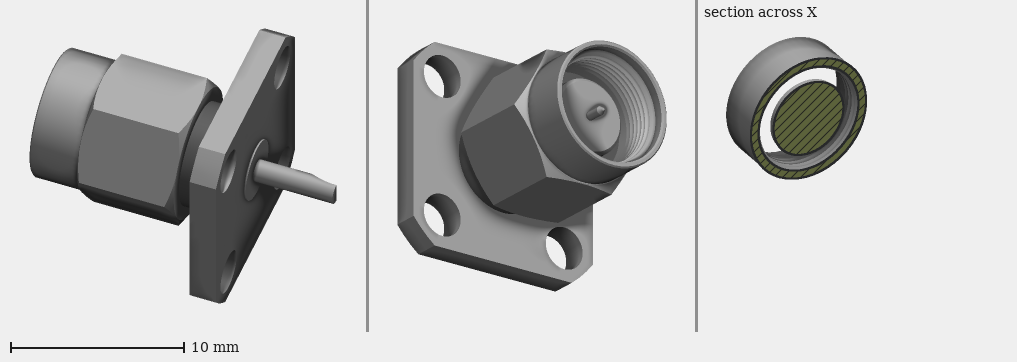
import cadquery as cq
import math

sleeve_radius = 3.88
sleeve_edge_chamfer = 0.09
hex_front_x = 2.98
hex_rear_x = 8.98
hex_across_flats = 7.96
hex_chamfer_angle = 30
hex_front_face_radius = 3.94
hex_rear_face_radius = 3.99

mouth_radius = 3.62
mouth_chamfer = 0.1
entry_depth = 0.7
lead_in_radius = 3.27
thread_minor_radius = 3.18
thread_start_x = 0.9
thread_pitch = 0.37
thread_flank_angle = 30
thread_groove_count = 8
socket_floor_x = thread_start_x + thread_groove_count * thread_pitch

boss_front_x = 2.3
boss_radius = 2.36
boss_chamfer = 0.21
contact_radius = 0.26
contact_tip_x = 0.96
contact_tip_radius = 0.09
contact_tip_length = 0.26

collar_radius = 3.15
flange_front_x = 10.87
flange_rear_x = 12.5
flange_side = 12.7
flange_corner_diameter = 16.0
mount_hole_diameter = 2.6
mount_hole_spacing = 8.65
disc_radius = 1.84
disc_rear_x = 12.6

terminal_radius = 0.66
terminal_end_x = 17.5
scoop_radius = 2.98
scoop_center_x = 17.38


def revolve_profile(points):
    """Turn a closed outline of (x, radius) points around the X axis."""
    return cq.Workplane("XY").polyline(points).close().revolve(360, (0, 0, 0), (1, 0, 0))


def cylinder(x_start, x_end, radius):
    """Solid cylinder on the X axis between two stations."""
    return cq.Workplane("YZ", origin=(x_start, 0, 0)).circle(radius).extrude(x_end - x_start)


def make_sleeve():
    sleeve = cylinder(0, hex_front_x, sleeve_radius)
    return sleeve.faces("<X").chamfer(sleeve_edge_chamfer)


def make_hexagon():
    """Hexagon with corners on the Y axis, turned down conically at both ends."""
    corner_radius = hex_across_flats / math.sqrt(3)
    slope = math.tan(math.radians(hex_chamfer_angle))
    front_run = (corner_radius - hex_front_face_radius) * slope
    rear_run = (corner_radius - hex_rear_face_radius) * slope
    prism = (
        cq.Workplane("YZ", origin=(hex_front_x, 0, 0))
        .polygon(6, 2 * corner_radius)
        .extrude(hex_rear_x - hex_front_x)
    )
    turned_envelope = revolve_profile([
        (hex_front_x, 0),
        (hex_front_x, hex_front_face_radius),
        (hex_front_x + front_run, corner_radius),
        (hex_rear_x - rear_run, corner_radius),
        (hex_rear_x, hex_rear_face_radius),
        (hex_rear_x, 0),
    ])
    return prism.intersect(turned_envelope)


def make_socket():
    """Cavity with a plain entry bore, a conical lead-in and a row of V-shaped thread grooves.

    The lead-in runs into the rear side of a thread crest, so the first groove begins part way up.
    """
    entry_radius = mouth_radius - mouth_chamfer
    flank_slope = math.tan(math.radians(thread_flank_angle))
    half_pitch = thread_pitch / 2
    groove_depth = half_pitch / flank_slope
    first_flank_x = thread_start_x + (lead_in_radius - thread_minor_radius) * flank_slope
    outline = [
        (0, 0),
        (0, mouth_radius),
        (mouth_chamfer, entry_radius),
        (entry_depth, entry_radius),
        (first_flank_x, lead_in_radius),
    ]
    for groove in range(thread_groove_count):
        crest_x = thread_start_x + groove * thread_pitch
        outline.append((crest_x + half_pitch, thread_minor_radius + groove_depth))
        outline.append((crest_x + thread_pitch, thread_minor_radius))
    outline.append((socket_floor_x, 0))
    return revolve_profile(outline)


def make_boss():
    boss = cylinder(boss_front_x, socket_floor_x, boss_radius)
    return boss.faces("<X").chamfer(boss_chamfer)


def make_contact():
    return revolve_profile([
        (contact_tip_x, 0),
        (contact_tip_x, contact_tip_radius),
        (contact_tip_x + contact_tip_length, contact_radius),
        (boss_front_x, contact_radius),
        (boss_front_x, 0),
    ])


def make_flange():
    """Square flange with corners turned to a circle and four through holes."""
    thickness = flange_rear_x - flange_front_x
    plate = (
        cq.Workplane("YZ", origin=(flange_front_x, 0, 0))
        .rect(flange_side, flange_side)
        .extrude(thickness)
    )
    turned_disc = cylinder(flange_front_x, flange_rear_x, flange_corner_diameter / 2)
    holes = (
        cq.Workplane("YZ", origin=(flange_front_x, 0, 0))
        .rect(mount_hole_spacing, mount_hole_spacing, forConstruction=True)
        .vertices()
        .circle(mount_hole_diameter / 2)
        .extrude(thickness)
    )
    return plate.intersect(turned_disc).cut(holes)


def make_terminal():
    """Rear pin whose +Y half is scooped away towards its end."""
    pin = cylinder(disc_rear_x, terminal_end_x, terminal_radius)
    scoop = (
        cq.Workplane("XY")
        .center(scoop_center_x, scoop_radius)
        .circle(scoop_radius)
        .extrude(terminal_radius, both=True)
    )
    return pin.cut(scoop)


nut = make_sleeve().union(make_hexagon()).cut(make_socket())
front_end = nut.union(make_boss()).union(make_contact())
collar = cylinder(hex_rear_x, flange_front_x, collar_radius)
insulator_disc = cylinder(flange_rear_x, disc_rear_x, disc_radius)
rear_end = collar.union(make_flange()).union(insulator_disc).union(make_terminal())
result = front_end.union(rear_end)